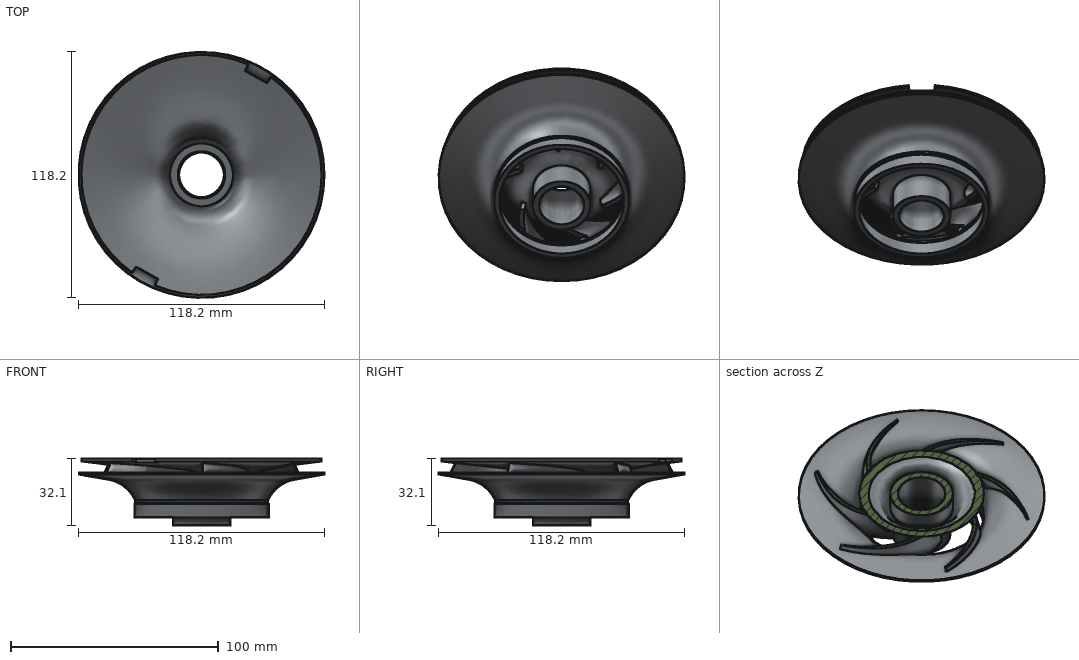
import cadquery as cq
import math


HUB_LOWER_RADIUS = 13.8
HUB_UPPER_RADIUS = 15.1
HUB_TOP = 31.1
BORE_BOTTOM_RADIUS = 10.8
BORE_TOP_RADIUS = 11.3
PLATE_RADIUS = 57.7
PLATE_TOP = 32.1
PLATE_RIM_THICKNESS = 1.4
DISH_FLOOR = 17.5
FLARE_BOTTOM = 14.2

NOTCH_COUNT = 2
NOTCH_INNER_RADIUS = 54.2
NOTCH_START_ANGLE = 54.6
NOTCH_END_ANGLE = 67.2

SHROUD_RADIUS = 59.1
SHROUD_TOP = 25.4
SHROUD_RIM_THICKNESS = 1.0
CONE_INNER_RADIUS = 44.9
CONE_OUTER_FACE = 22.0
CONE_INNER_FACE = 23.5
NECK_RADIUS = 32.0
EYE_RADIUS = 29.9
NECK_TOP = 12.3
NECK_BOTTOM = 10.9

RING_RADIUS = 32.4
RING_BOTTOM = 3.8
RING_SHOULDER = 10.2

BLADE_COUNT = 6
FIRST_BLADE_ANGLE = 30.0
BLADE_THICKNESS = 2.1
BLADE_TIP_THICKNESS = 0.7
BLADE_TAPER_PER_HEIGHT = 0.009308
BLADE_LOW = 9.5
BLADE_HIGH = 33.1
LEADING_EDGE_BOTTOM = 15.4

BLADE_TIP = (53.3, 0.7)
BLADE_TAPER_MIDDLE = (48.1, 10.5)
BLADE_TAPER_END = (42.9, 21.3)
BLADE_MIDDLE = (27.3, 55.0)
BLADE_INNER_END = (21.3, 72.0)
BLADE_PITCH_ANGLE = 35.0

PLATE_RIM_BOTTOM = (PLATE_RADIUS, PLATE_TOP - PLATE_RIM_THICKNESS)
DISH_CURVE = [
    (PLATE_RADIUS, PLATE_TOP),
    (42.5, 30.6),
    (29.5, 27.9),
    (24.0, 25.9),
    (19.9, 21.7),
    (HUB_UPPER_RADIUS, DISH_FLOOR),
]
DISH_RIM_DIRECTION = (-1.0, -0.1)
DISH_FLOOR_DIRECTION = (-1.0, 0.0)
UNDERSIDE_CURVE = [
    (HUB_LOWER_RADIUS, FLARE_BOTTOM),
    (20.7, 19.5),
    (27.3, 25.5),
    (34.3, 27.3),
    (41.4, 28.6),
    PLATE_RIM_BOTTOM,
]
SHROUD_OUTER_MIDDLE = (36.8, 18.4)
SHROUD_INNER_MIDDLE = (35.6, 19.7)


def revolve(profile):
    """Turn a closed (radius, z) profile once around the Z axis."""
    return profile.close().revolve(360, (0, 0, 0), (0, 1, 0))


def polar_point(radius, angle):
    return (radius * math.cos(math.radians(angle)), radius * math.sin(math.radians(angle)))


def make_notch():
    """Prism that cuts the rim, with radial sides and a straight floor."""
    overshoot = SHROUD_RADIUS / NOTCH_INNER_RADIUS
    start = polar_point(NOTCH_INNER_RADIUS, NOTCH_START_ANGLE)
    end = polar_point(NOTCH_INNER_RADIUS, NOTCH_END_ANGLE)
    far_end = (end[0] * overshoot, end[1] * overshoot)
    far_start = (start[0] * overshoot, start[1] * overshoot)
    return (
        cq.Workplane("XY", origin=(0, 0, SHROUD_TOP))
        .polyline([start, end, far_end, far_start])
        .close()
        .extrude(PLATE_TOP - SHROUD_TOP)
    )


def make_back_plate():
    """Hub with a tapered bore, flaring into the notched back plate."""
    plate = revolve(
        cq.Workplane("XZ")
        .moveTo(BORE_BOTTOM_RADIUS, 0)
        .lineTo(HUB_LOWER_RADIUS, 0)
        .lineTo(HUB_LOWER_RADIUS, FLARE_BOTTOM)
        .spline(UNDERSIDE_CURVE[1:], includeCurrent=True)
        .lineTo(PLATE_RADIUS, PLATE_TOP)
        .spline(DISH_CURVE[1:], tangents=[DISH_RIM_DIRECTION, DISH_FLOOR_DIRECTION], includeCurrent=True)
        .lineTo(HUB_UPPER_RADIUS, HUB_TOP)
        .lineTo(BORE_TOP_RADIUS, HUB_TOP)
    )
    notch = make_notch()
    for index in range(NOTCH_COUNT):
        plate = plate.cut(notch.rotate((0, 0, 0), (0, 0, 1), index * 360 / NOTCH_COUNT))
    return plate


def make_shroud():
    """Front shroud: conical rim, curved flare and short cylindrical neck."""
    return revolve(
        cq.Workplane("XZ")
        .moveTo(SHROUD_RADIUS, SHROUD_TOP)
        .lineTo(SHROUD_RADIUS, SHROUD_TOP - SHROUD_RIM_THICKNESS)
        .lineTo(CONE_INNER_RADIUS, CONE_OUTER_FACE)
        .threePointArc(SHROUD_OUTER_MIDDLE, (NECK_RADIUS, NECK_TOP))
        .lineTo(NECK_RADIUS, NECK_BOTTOM)
        .lineTo(EYE_RADIUS, NECK_BOTTOM)
        .lineTo(EYE_RADIUS, NECK_TOP)
        .threePointArc(SHROUD_INNER_MIDDLE, (CONE_INNER_RADIUS, CONE_INNER_FACE))
    )


def make_wear_ring():
    """Ring below the neck, with a small shoulder on top that matches the neck."""
    return revolve(
        cq.Workplane("XZ")
        .moveTo(EYE_RADIUS, RING_BOTTOM)
        .lineTo(RING_RADIUS, RING_BOTTOM)
        .lineTo(RING_RADIUS, RING_SHOULDER)
        .lineTo(NECK_RADIUS, RING_SHOULDER)
        .lineTo(NECK_RADIUS, NECK_BOTTOM)
        .lineTo(EYE_RADIUS, NECK_BOTTOM)
    )


def make_channel():
    """Space between the shroud and the back plate that the blades fill."""
    return revolve(
        cq.Workplane("XZ")
        .moveTo(*UNDERSIDE_CURVE[0])
        .spline(UNDERSIDE_CURVE[1:], includeCurrent=True)
        .lineTo(SHROUD_RADIUS, SHROUD_TOP)
        .lineTo(CONE_INNER_RADIUS, CONE_INNER_FACE)
        .threePointArc(SHROUD_INNER_MIDDLE, (EYE_RADIUS, NECK_TOP))
        .lineTo(EYE_RADIUS, LEADING_EDGE_BOTTOM)
    )


def concave_point(convex_point, thickness):
    """Polar point one blade thickness inside a polar point of the convex face."""
    radius, angle = convex_point
    pitch = math.radians(BLADE_PITCH_ANGLE)
    shift = math.degrees(thickness * math.sin(pitch) / radius)
    return (radius - thickness * math.cos(pitch), angle - shift)


def make_blade_section(z):
    """Closed blade outline at height z; outlines shrink toward the axis going up."""
    scale = 1 - BLADE_TAPER_PER_HEIGHT * (z - SHROUD_TOP)

    def place(point):
        x, y = polar_point(point[0] * scale, point[1])
        return cq.Vector(x, y, z)

    convex = [BLADE_TIP, BLADE_TAPER_MIDDLE, BLADE_TAPER_END, BLADE_MIDDLE, BLADE_INNER_END]
    middle_thickness = (BLADE_THICKNESS + BLADE_TIP_THICKNESS) / 2
    thicknesses = [BLADE_TIP_THICKNESS, middle_thickness] + [BLADE_THICKNESS] * 3
    concave = [concave_point(point, t) for point, t in zip(convex, thicknesses)]
    outer = [place(point) for point in convex]
    inner = [place(point) for point in concave]
    return cq.Wire.assembleEdges(
        [
            cq.Edge.makeThreePointArc(*outer[:3]),
            cq.Edge.makeThreePointArc(*outer[2:]),
            cq.Edge.makeLine(outer[-1], inner[-1]),
            cq.Edge.makeThreePointArc(*reversed(inner[2:])),
            cq.Edge.makeThreePointArc(*reversed(inner[:3])),
            cq.Edge.makeLine(inner[0], outer[0]),
        ]
    )


def make_blade(channel, angle):
    """One swept-back blade, trimmed to the channel."""
    sections = [make_blade_section(BLADE_LOW), make_blade_section(BLADE_HIGH)]
    blank = cq.Workplane(cq.Solid.makeLoft(sections, True))
    return blank.intersect(channel).rotate((0, 0, 0), (0, 0, 1), angle)


back_plate = make_back_plate()
shroud = make_shroud()
wear_ring = make_wear_ring()

channel = make_channel()
blades = []
for blade_index in range(BLADE_COUNT):
    blade_angle = FIRST_BLADE_ANGLE + blade_index * 360 / BLADE_COUNT
    blades += make_blade(channel, blade_angle).solids().vals()

result = cq.Compound.makeCompound([back_plate.val(), shroud.val(), wear_ring.val(), *blades])